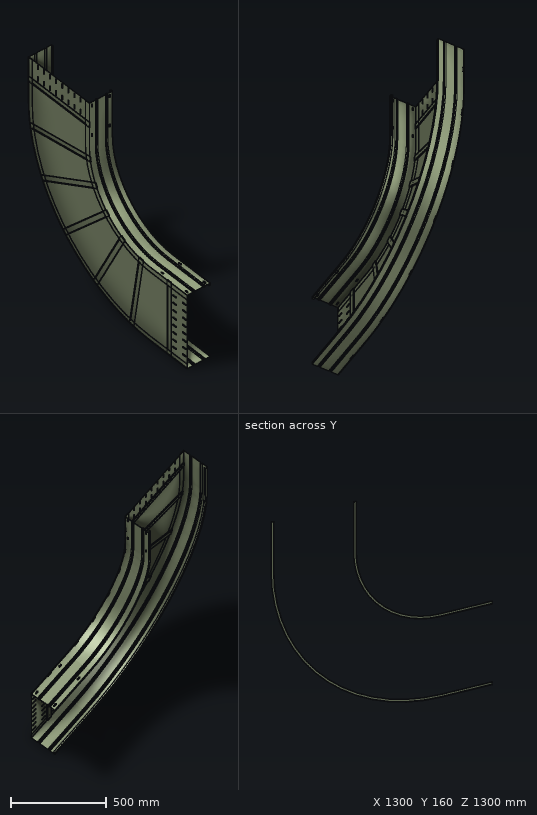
import cadquery as cq
import math


overall_length = 1300.0
tray_height = 160.0
tray_width = 500.0
arm_length = 300.0
outer_radius = overall_length - arm_length
inner_radius = outer_radius - tray_width
middle_radius = (outer_radius + inner_radius) / 2
sheet = 2.0

flange_width = 32.0
lip_width = 15.0
lip_drop = 10.0
groove_depth = 5.0
groove_half_width = 7.2
groove_half_flat = 3.0
groove_heights = [51.0, 120.0]

rib_width = 36.0
rib_depth = 4.0
rib_flank = 4.0
arm_rib_from_end = 150.0
bend_rib_count = 5
bend_rib_step = 90.0 / bend_rib_count

floor_slot_length = 30.0
floor_slot_width = 6.0
floor_slot_count = 8
floor_slot_span = 350.0
floor_slot_pitch = floor_slot_span / (floor_slot_count - 1)
floor_slots_from_end = [25.0, 104.0]

wall_slot_length = 20.0
wall_slot_width = 6.0
wall_slots_from_end = [25.0, 225.0]
wall_slot_from_edge = 20.0
wall_slot_heights = [wall_slot_from_edge, tray_height - wall_slot_from_edge]


def sheet_outline(points):
    """Closed outline of a bent sheet: the given face line and its offset to the right by one sheet."""
    directions = []
    for (u0, v0), (u1, v1) in zip(points, points[1:]):
        length = math.hypot(u1 - u0, v1 - v0)
        directions.append(((u1 - u0) / length, (v1 - v0) / length))
    before = directions[:1] + directions
    after = directions + directions[-1:]
    offset_points = []
    for (u, v), (a, b), (c, d) in zip(points, before, after):
        mitre = sheet / (1 + a * c + b * d)
        offset_points.append((u + (b + d) * mitre, v - (a + c) * mitre))
    return points + offset_points[::-1]


def swap_arms(shape):
    """Mirror a shape of the Z arm onto the X arm, or back, by swapping X and Z."""
    return shape.mirror(cq.Vector(1, 0, -1))


def along_tray(outline):
    """Carry an outline of (radius, height) points along the two arms and the bend, as one solid."""
    crossing = [(-radius, height) for radius, height in outline]
    z_arm = cq.Workplane("XY").polyline(crossing).close().extrude(arm_length)
    bend = cq.Workplane("XY").polyline(crossing).close().revolve(90, (0, 0, 0), (0, -1, 0))
    return z_arm.union(bend).union(swap_arms(z_arm))


def side_wall(face_radius, inward):
    """Wall whose outer face is at face_radius; inward is the sign of the radial way into the tray."""
    face = [(flange_width, 0), (0, 0)]
    for height in groove_heights:
        face.append((0, height - groove_half_width))
        face.append((groove_depth, height - groove_half_flat))
        face.append((groove_depth, height + groove_half_flat))
        face.append((0, height + groove_half_width))
    face.append((0, tray_height))
    face.append((lip_width, tray_height))
    face.append((lip_width, tray_height - lip_drop))
    return along_tray([(face_radius + inward * depth, height) for depth, height in sheet_outline(face)])


def outer_wall():
    return side_wall(outer_radius, -1)


def inner_wall():
    wall = side_wall(inner_radius, 1)
    for from_end in wall_slots_from_end:
        for height in wall_slot_heights:
            slot = (
                cq.Workplane("YZ", origin=(-inner_radius, height, arm_length - from_end))
                .slot2D(wall_slot_length, wall_slot_width, 90)
                .extrude(sheet, both=True)
            )
            wall = wall.cut(slot).cut(swap_arms(slot))
    return wall


def floor_band(thickness):
    """Band of the given thickness, lying on the flanges and filling the width between the walls."""
    inner, outer = inner_radius + sheet, outer_radius - sheet
    low, high = sheet, sheet + thickness
    return along_tray([(inner, low), (outer, low), (outer, high), (inner, high)])


def across_tray(outline):
    """Extrude an outline of (z, height above the flanges) points across the tray at the start of the bend."""
    section = [(height + sheet, z) for z, height in outline]
    return cq.Workplane("YZ", origin=(-outer_radius, 0, 0)).polyline(section).close().extrude(tray_width)


def rib_places(shape):
    """Copies of a cross-tray shape at every rib: one on each arm and the rest spread over the bend."""
    on_z_arm = shape.translate((0, 0, arm_length - arm_rib_from_end))
    places = [on_z_arm, swap_arms(on_z_arm)]
    for i in range(bend_rib_count):
        places.append(shape.rotate((0, 0, 0), (0, 1, 0), -(i + 0.5) * bend_rib_step))
    return places


def floor_slots():
    """Slots of the Z arm: rows of equal slots along the arm, centred on the tray's width."""
    centres = []
    for from_end in floor_slots_from_end:
        for i in range(floor_slot_count):
            across = (i - (floor_slot_count - 1) / 2) * floor_slot_pitch
            centres.append((across - middle_radius, arm_length - from_end))
    return (
        cq.Workplane("XZ")
        .pushPoints(centres)
        .slot2D(floor_slot_length, floor_slot_width, 90)
        .extrude(-3 * sheet)
    )


def tray_floor():
    half_cut = rib_width / 2 + sheet
    half_base = rib_width / 2
    half_top = half_base - rib_flank
    gap = across_tray([(half_cut, 0), (half_cut, sheet), (-half_cut, sheet), (-half_cut, 0)])
    rib = across_tray(sheet_outline([
        (half_cut, 0),
        (half_base, 0),
        (half_top, rib_depth),
        (-half_top, rib_depth),
        (-half_base, 0),
        (-half_cut, 0),
    ]))
    floor = floor_band(sheet)
    rib_space = floor_band(rib_depth + sheet)
    for rib_gap, rib_piece in zip(rib_places(gap), rib_places(rib)):
        floor = floor.cut(rib_gap).union(rib_piece.intersect(rib_space))
    slots = floor_slots()
    return floor.cut(slots).cut(swap_arms(slots))


result = cq.Compound.makeCompound([tray_floor().val(), outer_wall().val(), inner_wall().val()])